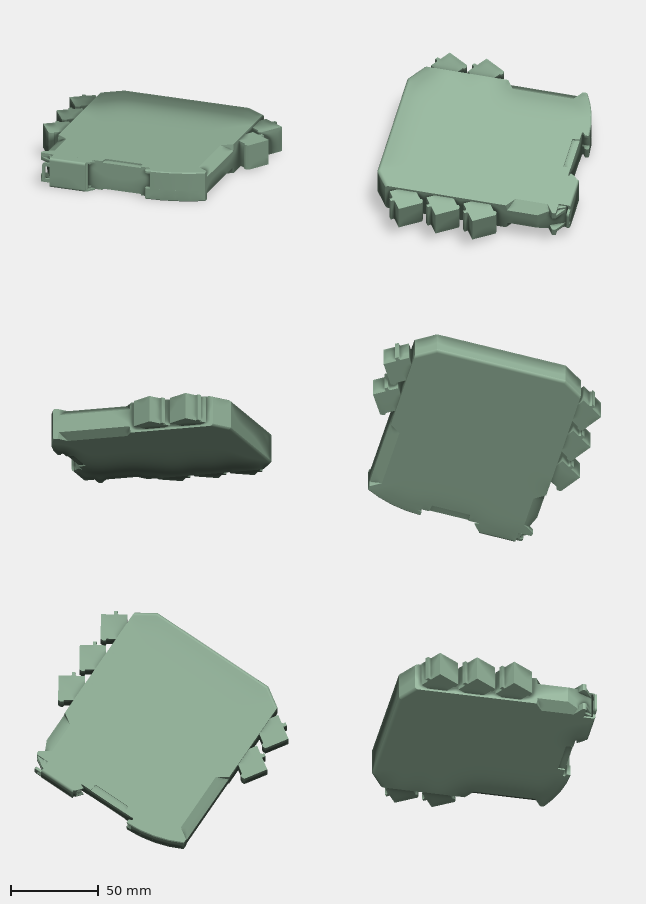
import cadquery as cq
import math


THICKNESS = 17.6
HALF_THICKNESS = THICKNESS / 2
UPPER_SHELL_THICKNESS = 11.0
PARTING_Z = HALF_THICKNESS - UPPER_SHELL_THICKNESS
HALF_WIDTH = 49.2
REAR_Y = 106.7
OVERALL_Y = 113.6
OVERALL_X = 128.9
SLOPE = 33.0
MARGIN = 10.0

REAR_FLAT_HALF = 38.1
REAR_CORNER_DROP = (HALF_WIDTH - REAR_FLAT_HALF) * math.tan(math.radians(SLOPE))
REAR_ROUND_INSET = 1.8
REAR_ROUND_DEPTH = 1.2

HOOK_GAP_X = 17.6
HOOK_TIP_X = 15.7
HOOK_LIP_TOP_Y = -1.1
HOOK_TIP_TOP_Y = -1.9
HOOK_TIP_BOTTOM_Y = -4.35
HOOK_CORNER_X = 0.8
HOOK_CORNER_Y = 0.4
FOOT_CURVE_MIDDLE = (31.4, -2.45)
FOOT_END_Y = 4.15
FOOT_EDGE_CHAMFER = 0.5
HOOK_POCKET_END_X = 18.9
HOOK_TOP_SKIN = 1.7

FLANK_TOP_Y = 10.6
FLANK_INSET_AT_RAIL = 5.2
TONGUE_BOTTOM_Y = -4.3
FLANK_RATE = FLANK_INSET_AT_RAIL / FLANK_TOP_Y

LUG_DEPTH = 4.3
LUG_TIP_Y = 2.1
RIB_TOP_DEPTH = 2.3
LUG_CORNER_X = 0.4
LUG_CORNER_Y = 0.9

GRIP_LENGTH_X = 6.35
GRIP_DEPTH = 3.8
GRIP_DRAFT = 9.0
GRIP_RISE = GRIP_LENGTH_X * math.tan(math.radians(SLOPE))
LEFT_GRIP_TOP_Y = 29.0
RIGHT_GRIP_BOTTOM_Y = 6.8
RIGHT_GRIP_TOP_Y = 50.5

RAIL_RECESS_HALF_BASE = 11.7
RAIL_RECESS_HALF_TOP = 11.25
RAIL_RECESS_HEIGHT = 4.15
RAIL_RECESS_DEPTH = 0.85

CLIP_LEFT_X = -41.2
CLIP_RIGHT_X = -19.7
CLIP_BOTTOM_Y = REAR_Y - OVERALL_Y
CLIP_EDGE_RADIUS = 1.4
CLIP_BASE_THICKNESS = 1.45
CLIP_BASE_TOP_Y = CLIP_BOTTOM_Y + CLIP_BASE_THICKNESS
CLIP_CHEEK = 1.0
CLIP_NOSE_X = -15.6
CLIP_NOSE_Y = -1.25
CLIP_SHOULDER_X = -17.9
CLIP_SHOULDER_Y = -0.5
CLIP_JAW_X = -18.7
CLIP_JAW_Y = -5.0
CLIP_WALL_X = -20.7
PAD_LENGTH = 2.0
PAD_THICKNESS = 0.9
PAD_BOTTOM_Y = -2.5
PULL_TAB_X = -45.7
PULL_TAB_HALF_WIDTH = 5.8
PULL_TAB_RADIUS = 1.7
PULL_SLOT_LEFT_X = -44.2
PULL_SLOT_HALF_WIDTH = 3.8

TERMINAL_TIP_X = OVERALL_X / 2
TERMINAL_TIP_Y = 88.1
TERMINAL_PITCH = 21.5
TERMINAL_LENGTH = 15.0
TERMINAL_WIDTH = 14.2
TERMINAL_BOTTOM_Z = -7.4
TERMINAL_TOP_Z = 7.5
LATCH_START = 7.5
LATCH_END = 9.7
LATCH_HEIGHT = 2.1
LATCH_NECK = 0.4
FOOT_LENGTH = 3.4
FOOT_HEIGHT = 1.0
FOOT_RUN_IN = 1.5
FOOT_STEP = 0.5
TERMINALS_LEFT = 3
TERMINALS_RIGHT = 2


def plate(points, bottom_z, top_z):
    """Prism with a polygon outline in XY between two heights."""
    return cq.Workplane("XY").workplane(offset=bottom_z).polyline(points).close().extrude(top_z - bottom_z)


def block(x_range, y_range, z_range):
    """Box given by its limits along each axis."""
    (x0, x1), (y0, y1) = x_range, y_range
    return plate([(x0, y0), (x1, y0), (x1, y1), (x0, y1)], *z_range)


def on_both_faces(body):
    """The body with its mirror image in the mid-plane of the housing."""
    return body.union(body.mirror("XY"))


def flank_x(y):
    """X of the leaning left flank at height y."""
    return -HALF_WIDTH + FLANK_RATE * (FLANK_TOP_Y - y)


def housing_core():
    outline = (
        cq.Workplane("XY")
        .workplane(offset=-HALF_THICKNESS)
        .moveTo(flank_x(0), 0)
        .lineTo(-HALF_WIDTH, FLANK_TOP_Y)
        .lineTo(-HALF_WIDTH, REAR_Y - REAR_CORNER_DROP)
        .lineTo(-REAR_FLAT_HALF, REAR_Y)
        .lineTo(REAR_FLAT_HALF, REAR_Y)
        .lineTo(HALF_WIDTH, REAR_Y - REAR_CORNER_DROP)
        .lineTo(HALF_WIDTH, FOOT_END_Y)
        .threePointArc(FOOT_CURVE_MIDDLE, (HOOK_TIP_X + HOOK_CORNER_X, HOOK_TIP_BOTTOM_Y))
        .lineTo(HOOK_TIP_X, HOOK_TIP_BOTTOM_Y + HOOK_CORNER_Y)
        .lineTo(HOOK_TIP_X, HOOK_TIP_TOP_Y)
        .lineTo(HOOK_GAP_X, HOOK_LIP_TOP_Y)
        .lineTo(HOOK_GAP_X, 0)
        .close()
    )
    core = outline.extrude(THICKNESS)
    return core.faces("<Z or >Z").edges("%CIRCLE").chamfer(FOOT_EDGE_CHAMFER)


def rear_edge_rounding(edge_x, edge_y, angle):
    """Cutter that rounds the face edge through a point; the edge is turned by angle from the X axis."""
    radius = (REAR_ROUND_INSET**2 + REAR_ROUND_DEPTH**2) / (2 * REAR_ROUND_DEPTH)
    half_sweep = math.asin(REAR_ROUND_INSET / radius) / 2
    arc_middle = (
        -REAR_ROUND_INSET + radius * math.sin(half_sweep),
        HALF_THICKNESS - radius * (1 - math.cos(half_sweep)),
    )
    cutter = (
        cq.Workplane("YZ")
        .moveTo(-REAR_ROUND_INSET, HALF_THICKNESS)
        .threePointArc(arc_middle, (0, HALF_THICKNESS - REAR_ROUND_DEPTH))
        .lineTo(MARGIN, HALF_THICKNESS - REAR_ROUND_DEPTH)
        .lineTo(MARGIN, HALF_THICKNESS + MARGIN)
        .lineTo(-REAR_ROUND_INSET, HALF_THICKNESS + MARGIN)
        .close()
        .extrude(2 * HALF_WIDTH, both=True)
    )
    return on_both_faces(cutter.rotate((0, 0, 0), (0, 0, 1), angle).translate((edge_x, edge_y, 0)))


def round_rear_edges(core):
    core = core.cut(rear_edge_rounding(0, REAR_Y, 0))
    for side in (-1, 1):
        core = core.cut(rear_edge_rounding(side * REAR_FLAT_HALF, REAR_Y, -side * SLOPE))
    return core


def corner_lugs():
    rise = FLANK_RATE * math.tan(math.radians(SLOPE))
    lug_top_y = (LUG_TIP_Y + rise * FLANK_TOP_Y) / (1 + rise)
    lug = plate(
        [
            (-HALF_WIDTH + LUG_CORNER_X, 0),
            (flank_x(0), 0),
            (flank_x(lug_top_y), lug_top_y),
            (-HALF_WIDTH, LUG_TIP_Y),
            (-HALF_WIDTH, LUG_CORNER_Y),
        ],
        HALF_THICKNESS - LUG_DEPTH,
        HALF_THICKNESS,
    )
    return on_both_faces(lug)


def clip_tongue():
    """Part of the housing that reaches down between the cheeks of the clip."""
    half = HALF_THICKNESS - CLIP_CHEEK
    end_x = CLIP_SHOULDER_X - PAD_LENGTH
    points = [
        (flank_x(0), 0),
        (flank_x(TONGUE_BOTTOM_Y), TONGUE_BOTTOM_Y),
        (end_x, TONGUE_BOTTOM_Y),
        (end_x, 0),
    ]
    return plate(points, -half, half)


def lug_ribs():
    points = [
        (-HALF_WIDTH + LUG_CORNER_X, 0),
        (CLIP_LEFT_X, 0),
        (CLIP_LEFT_X, TONGUE_BOTTOM_Y),
        (flank_x(TONGUE_BOTTOM_Y), TONGUE_BOTTOM_Y),
    ]
    return on_both_faces(plate(points, HALF_THICKNESS - LUG_DEPTH, HALF_THICKNESS - RIB_TOP_DEPTH))


def grip_recess(side, bottom_y, top_y):
    """Sloping cutter for one side (-1 left, 1 right); the Y limits are where it meets the side wall."""
    outer_rise = MARGIN * math.tan(math.radians(SLOPE))
    wall_x = side * HALF_WIDTH
    inner_x = side * (HALF_WIDTH - GRIP_LENGTH_X)
    outer_x = side * (HALF_WIDTH + MARGIN)
    ends = (
        cq.Workplane("XY")
        .workplane(offset=HALF_THICKNESS)
        .polyline([
            (inner_x, bottom_y + GRIP_RISE),
            (outer_x, bottom_y - outer_rise),
            (outer_x, top_y + outer_rise),
            (inner_x, top_y - GRIP_RISE),
        ])
        .close()
        .extrude(-2 * GRIP_DEPTH, taper=GRIP_DRAFT)
    )
    slope = (
        cq.Workplane("XZ", origin=(0, top_y + MARGIN, 0))
        .polyline([
            (inner_x, HALF_THICKNESS),
            (wall_x, HALF_THICKNESS - GRIP_DEPTH),
            (outer_x, HALF_THICKNESS - GRIP_DEPTH),
            (outer_x, HALF_THICKNESS),
        ])
        .close()
        .extrude(top_y - bottom_y + 2 * MARGIN)
    )
    return on_both_faces(ends.intersect(slope))


def rail_recesses():
    points = [
        (-RAIL_RECESS_HALF_BASE, 0),
        (RAIL_RECESS_HALF_BASE, 0),
        (RAIL_RECESS_HALF_TOP, RAIL_RECESS_HEIGHT),
        (-RAIL_RECESS_HALF_TOP, RAIL_RECESS_HEIGHT),
    ]
    return on_both_faces(plate(points, HALF_THICKNESS - RAIL_RECESS_DEPTH, HALF_THICKNESS))


def hook_pocket():
    return block(
        (HOOK_TIP_X, HOOK_POCKET_END_X),
        (HOOK_TIP_BOTTOM_Y, 0),
        (PARTING_Z, HALF_THICKNESS - HOOK_TOP_SKIN),
    )


def make_housing():
    housing = round_rear_edges(housing_core()).union(corner_lugs()).union(clip_tongue()).union(lug_ribs())
    housing = housing.cut(grip_recess(-1, LUG_TIP_Y, LEFT_GRIP_TOP_Y))
    housing = housing.cut(grip_recess(1, RIGHT_GRIP_BOTTOM_Y, RIGHT_GRIP_TOP_Y))
    return housing.cut(rail_recesses()).cut(hook_pocket())


def make_clip():
    body = plate(
        [
            (CLIP_LEFT_X, 0),
            (CLIP_SHOULDER_X, 0),
            (CLIP_SHOULDER_X, CLIP_SHOULDER_Y),
            (CLIP_NOSE_X, CLIP_NOSE_Y),
            (CLIP_JAW_X, CLIP_JAW_Y),
            (CLIP_RIGHT_X, CLIP_BASE_TOP_Y),
            (CLIP_RIGHT_X, CLIP_BOTTOM_Y),
            (CLIP_LEFT_X, CLIP_BOTTOM_Y),
        ],
        -HALF_THICKNESS,
        HALF_THICKNESS,
    )
    body = body.faces("<Y").edges("|X").fillet(CLIP_EDGE_RADIUS)
    half_channel = HALF_THICKNESS - CLIP_CHEEK
    inside = (-half_channel, half_channel)
    channel = block((CLIP_LEFT_X, CLIP_WALL_X), (CLIP_BASE_TOP_Y, 0), inside)
    above_wall = block((CLIP_WALL_X, CLIP_JAW_X), (TONGUE_BOTTOM_Y, 0), inside)
    jaw_opening = block((CLIP_JAW_X, 0), (CLIP_BOTTOM_Y, 0), inside)
    pad = block(
        (CLIP_SHOULDER_X - PAD_LENGTH, CLIP_SHOULDER_X),
        (PAD_BOTTOM_Y, 0),
        (half_channel - PAD_THICKNESS, half_channel),
    )
    tab = block(
        (PULL_TAB_X, CLIP_RIGHT_X),
        (CLIP_BOTTOM_Y, CLIP_BASE_TOP_Y),
        (-PULL_TAB_HALF_WIDTH, PULL_TAB_HALF_WIDTH),
    )
    tab = tab.faces("<X").edges("|Y").fillet(PULL_TAB_RADIUS)
    slot = block(
        (PULL_SLOT_LEFT_X, CLIP_LEFT_X),
        (CLIP_BOTTOM_Y, CLIP_BASE_TOP_Y),
        (-PULL_SLOT_HALF_WIDTH, PULL_SLOT_HALF_WIDTH),
    )
    body = body.cut(channel).cut(above_wall).cut(jaw_opening)
    return body.union(on_both_faces(pad)).union(tab).cut(slot)


def make_left_terminal(tip_y):
    """Terminal tilted by SLOPE; local X runs into the housing and local Y up the front face."""
    points = [
        (0, 0),
        (LATCH_START, 0),
        (LATCH_START, LATCH_HEIGHT),
        (LATCH_END, LATCH_HEIGHT),
        (LATCH_END - LATCH_NECK, LATCH_HEIGHT / 2),
        (LATCH_END + LATCH_NECK, 0),
        (TERMINAL_LENGTH, 0),
        (TERMINAL_LENGTH, -TERMINAL_WIDTH),
        (FOOT_LENGTH, -TERMINAL_WIDTH),
        (FOOT_LENGTH - FOOT_STEP, -TERMINAL_WIDTH - FOOT_HEIGHT),
        (FOOT_RUN_IN, -TERMINAL_WIDTH - FOOT_HEIGHT),
        (0, -TERMINAL_WIDTH),
    ]
    terminal = plate(points, TERMINAL_BOTTOM_Z, TERMINAL_TOP_Z)
    terminal = terminal.rotate((0, 0, 0), (0, 0, 1), SLOPE).translate((-TERMINAL_TIP_X, tip_y, 0))
    inside = block((-HALF_WIDTH, 0), (0, REAR_Y), (-HALF_THICKNESS, HALF_THICKNESS))
    return terminal.cut(inside)


housing = make_housing()
upper_shell = housing.intersect(
    block((-2 * HALF_WIDTH, 2 * HALF_WIDTH), (-REAR_Y, 2 * REAR_Y), (PARTING_Z, HALF_THICKNESS))
)
lower_shell = housing.cut(upper_shell)
clip = make_clip()

terminals = []
for row in range(TERMINALS_LEFT):
    terminals.append(make_left_terminal(TERMINAL_TIP_Y - row * TERMINAL_PITCH))
for row in range(TERMINALS_RIGHT):
    terminals.append(make_left_terminal(TERMINAL_TIP_Y - row * TERMINAL_PITCH).mirror("YZ"))

result = cq.Compound.makeCompound(
    [upper_shell.val(), lower_shell.val(), clip.val(), *[terminal.val() for terminal in terminals]]
)